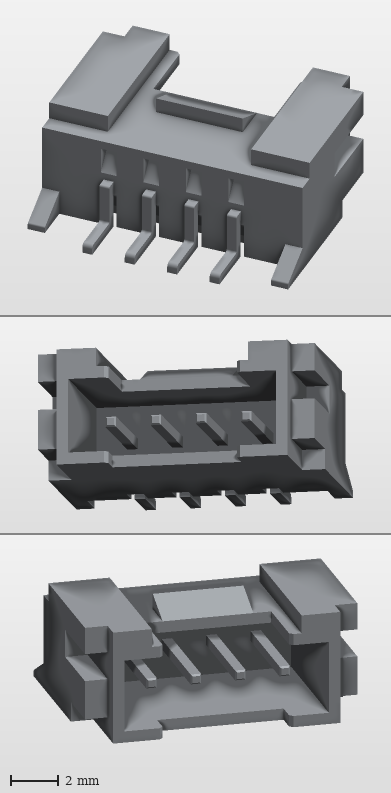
import cadquery as cq


WIDTH = 12.0
HEIGHT = 5.0
LENGTH = 7.58
ROOF_TOP = 4.2
SHELL = 0.5
REAR_WALL = 1.5

TOWER_INNER_X = 3.3
TOWER_REAR_Y = 0.78

SIDE_DEPTH = 1.0
CORNER_LENGTH = 0.9
SIDE_SLOT_LENGTH = 4.09
LOWER_CUT_LENGTH = 3.18
LOWER_CUT_HEIGHT = 0.88

NOTCH_HALF_WIDTH = 2.78
ROOF_NOTCH_LENGTH = 3.02
FLOOR_NOTCH_LENGTH = 1.03
NOTCH_CHAMFER = 0.15

LATCH_WIDTH = 4.0
LATCH_LENGTH = 1.6
LATCH_TOP = 4.9

PIN_COUNT = 4
PITCH = 1.95
POCKET_WIDTH = 0.72
POCKET_DEPTH = 0.96
WINDOW_BOTTOM = 2.6
WINDOW_TOP = 3.82
RELIEF_INNER_TOP = 0.38
RELIEF_OUTER_TOP = 1.6

PIN = 0.45
PIN_WIDTH = 0.45
PIN_TOP = 2.28
PIN_TIP_Y = LENGTH - 1.33
PIN_GAP = 0.04
FOOT_TIP_Y = -2.36
FOOT_TIP_RADIUS = 0.22
BEND_RADIUS = 0.11
PIN_TIP_CHAMFER = 0.07

LEG_WIDTH = 0.79
LEG_LENGTH = 1.6
LEG_ROOT_HEIGHT = 1.13
LEG_TIP_HEIGHT = 0.28
LEG_TIP_RADIUS = 0.1

CAVITY_HALF_WIDTH = WIDTH / 2 - SIDE_DEPTH - SHELL
NOTCH_ROOF_Y = LENGTH - ROOF_NOTCH_LENGTH
CAVITY_TOP = ROOF_TOP - SHELL
PIN_XS = [(i - (PIN_COUNT - 1) / 2) * PITCH for i in range(PIN_COUNT)]


def box(x0, x1, y0, y1, z0, z1):
    """Box spanning the given limits along X, Y and Z."""
    return cq.Workplane("XY").box(x1 - x0, y1 - y0, z1 - z0, centered=False).translate((x0, y0, z0))


def side_profile(points, center_x, width):
    """Closed (Y, Z) outline extruded along X, centred on center_x."""
    prism = cq.Workplane("YZ").polyline(points).close().extrude(width / 2, both=True)
    return prism.translate((center_x, 0, 0))


def both_sides(shape):
    """The shape together with its mirror image about X = 0."""
    return shape.union(shape.mirror("YZ"))


def make_shell():
    half = WIDTH / 2
    body = box(-half, half, 0, LENGTH, 0, ROOF_TOP)
    tower = box(TOWER_INNER_X, half, TOWER_REAR_Y, LENGTH, ROOF_TOP, HEIGHT)
    cavity = box(-CAVITY_HALF_WIDTH, CAVITY_HALF_WIDTH, REAR_WALL, LENGTH, SHELL, CAVITY_TOP)
    return body.union(both_sides(tower)).cut(cavity)


def make_side_cuts():
    half = WIDTH / 2
    inner = half - SIDE_DEPTH
    corner = box(inner, half, LENGTH - CORNER_LENGTH, LENGTH, 0, HEIGHT)
    slot = box(inner, half, LENGTH - SIDE_SLOT_LENGTH, LENGTH, WINDOW_BOTTOM, WINDOW_TOP)
    lower = box(inner, half, LENGTH - LOWER_CUT_LENGTH, LENGTH, 0, LOWER_CUT_HEIGHT)
    return both_sides(corner.union(slot).union(lower))


def make_notch(length, z0, z1):
    """Mouth notch that flares out by a small chamfer at the mouth face."""
    narrow = NOTCH_HALF_WIDTH
    flared = narrow + NOTCH_CHAMFER
    outline = [
        (-narrow, LENGTH - length),
        (narrow, LENGTH - length),
        (narrow, LENGTH - NOTCH_CHAMFER),
        (flared, LENGTH),
        (-flared, LENGTH),
        (-narrow, LENGTH - NOTCH_CHAMFER),
    ]
    return cq.Workplane("XY").polyline(outline).close().extrude(z1 - z0).translate((0, 0, z0))


def make_latch():
    rear_y = NOTCH_ROOF_Y - LATCH_LENGTH
    outline = [(rear_y, ROOF_TOP), (NOTCH_ROOF_Y, ROOF_TOP), (rear_y, LATCH_TOP)]
    return side_profile(outline, 0, LATCH_WIDTH)


def make_window(x):
    """Rear pocket whose floor rises to nothing at full depth."""
    outline = [(0, WINDOW_BOTTOM), (POCKET_DEPTH, WINDOW_TOP), (0, WINDOW_TOP)]
    return side_profile(outline, x, POCKET_WIDTH)


def make_relief(x):
    """Rear pocket open at the bottom, with a ceiling falling inwards."""
    outline = [(0, 0), (POCKET_DEPTH, 0), (POCKET_DEPTH, RELIEF_INNER_TOP), (0, RELIEF_OUTER_TOP)]
    return side_profile(outline, x, POCKET_WIDTH)


def make_leg():
    outline = [(0, 0), (-LEG_LENGTH, 0), (-LEG_LENGTH, LEG_TIP_HEIGHT), (0, LEG_ROOT_HEIGHT)]
    leg = side_profile(outline, (WIDTH - LEG_WIDTH) / 2, LEG_WIDTH)
    tip_edge = cq.selectors.NearestToPointSelector(((WIDTH - LEG_WIDTH) / 2, -LEG_LENGTH, LEG_TIP_HEIGHT))
    return leg.edges(tip_edge).fillet(LEG_TIP_RADIUS)


def make_pin(x):
    """Pin with a contact in the cavity, an upright behind the wall and a foot."""
    inner_y = -PIN_GAP
    outer_y = inner_y - PIN
    outline = [
        (PIN_TIP_Y, PIN_TOP),
        (outer_y, PIN_TOP),
        (outer_y, PIN),
        (FOOT_TIP_Y, PIN),
        (FOOT_TIP_Y, 0),
        (inner_y, 0),
        (inner_y, PIN_TOP - PIN),
        (PIN_TIP_Y, PIN_TOP - PIN),
    ]
    pin = side_profile(outline, 0, PIN_WIDTH)
    rounded = [
        (outer_y, PIN_TOP, BEND_RADIUS),
        (outer_y, PIN, BEND_RADIUS),
        (FOOT_TIP_Y, PIN, FOOT_TIP_RADIUS),
    ]
    for y, z, radius in rounded:
        pin = pin.edges(cq.selectors.NearestToPointSelector((0, y, z))).fillet(radius)
    pin = pin.faces(">Y").edges().chamfer(PIN_TIP_CHAMFER)
    return pin.translate((x, 0, 0))


result = make_shell().cut(make_side_cuts())
result = result.cut(make_notch(ROOF_NOTCH_LENGTH, CAVITY_TOP, ROOF_TOP))
result = result.cut(make_notch(FLOOR_NOTCH_LENGTH, 0, SHELL))
result = result.union(make_latch()).union(both_sides(make_leg()))
for pin_x in PIN_XS:
    result = result.cut(make_window(pin_x)).cut(make_relief(pin_x)).union(make_pin(pin_x))